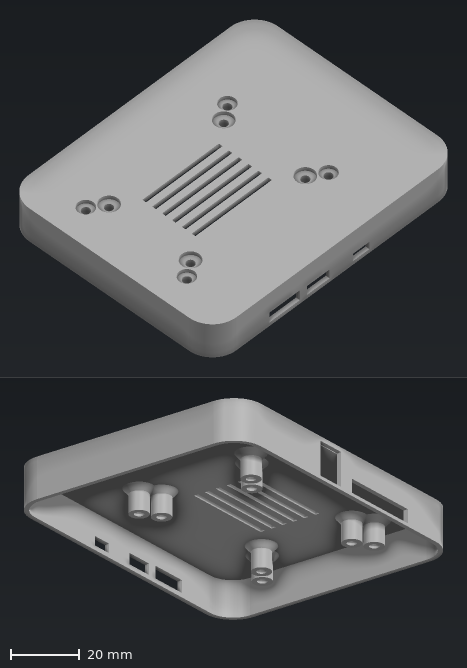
import cadquery as cq

length_x = 84.0
length_y = 103.9
height = 13.6
corner_radius = 9.8
wall = 1.6
roof = 1.7
roof_underside = height - roof

pattern_x = -0.4
pattern_y = -10.6

hole_diameter = 3.0
counterbore_depth = 1.5
inner_spacing_x = 33.0
inner_spacing_y = 48.0
inner_counterbore = 7.0
outer_spacing_x = 40.8
outer_spacing_y = 59.2
outer_counterbore = 6.0

standoff_diameter = 6.2
standoff_bottom = 3.7
flare_diameter = 9.8
flare_height = 2.0

slot_count = 6
slot_width = 1.5
slot_length = 32.0
slot_row_span = 20.0
slot_pitch = slot_row_span / (slot_count - 1)

left_sill = 1.0
tall_port_start = 3.5
tall_port_end = 13.4
tall_port_top = 12.2
long_port_start = -28.5
long_port_end = -1.7
long_port_top = 5.5

right_sill = 1.5
right_ports = [
    (6.5, tall_port_end, 4.5),
    (-12.7, -3.2, 5.1),
    (long_port_start, -15.7, long_port_top),
]


def rounded_block(size_x, size_y, size_z, radius):
    block = cq.Workplane("XY").box(size_x, size_y, size_z, centered=(True, True, False))
    return block.edges("|Z").fillet(radius)


def hole_pattern(spacing_x, spacing_y, z):
    """Workplane at height z with a point at each hole of a pattern."""
    plane = cq.Workplane("XY", origin=(pattern_x, pattern_y, z))
    return plane.rarray(spacing_x, spacing_y, 2, 2)


def counterbored_holes(spacing_x, spacing_y, counterbore_diameter):
    shafts = hole_pattern(spacing_x, spacing_y, 0).circle(hole_diameter / 2).extrude(height)
    heads = (
        hole_pattern(spacing_x, spacing_y, height)
        .circle(counterbore_diameter / 2)
        .extrude(-counterbore_depth)
    )
    return shafts.union(heads)


def standoffs(spacing_x, spacing_y):
    posts = (
        hole_pattern(spacing_x, spacing_y, standoff_bottom)
        .circle(standoff_diameter / 2)
        .extrude(height - standoff_bottom)
    )
    flare = cq.Solid.makeCone(
        standoff_diameter / 2,
        flare_diameter / 2,
        flare_height,
        pnt=cq.Vector(0, 0, roof_underside - flare_height),
    )
    flares = hole_pattern(spacing_x, spacing_y, 0).eachpoint(
        lambda location: flare.moved(location)
    )
    return posts.union(flares)


def vent_slots():
    plane = cq.Workplane("XY", origin=(pattern_x, pattern_y, roof_underside))
    return plane.rarray(slot_pitch, 1, slot_count, 1).rect(slot_width, slot_length).extrude(roof)


def port(wall_side, y_start, y_end, bottom, top):
    """Cutter for one opening through the -X (side -1) or +X (side 1) wall."""
    wall_centre_x = wall_side * (length_x - wall) / 2
    opening = cq.Workplane("XY").box(wall, y_end - y_start, top - bottom)
    return opening.translate((wall_centre_x, (y_start + y_end) / 2, (bottom + top) / 2))


shell = rounded_block(length_x, length_y, height, corner_radius)
cavity = rounded_block(
    length_x - 2 * wall, length_y - 2 * wall, roof_underside, corner_radius - wall
)

result = shell.cut(cavity)
result = result.union(standoffs(inner_spacing_x, inner_spacing_y))
result = result.union(standoffs(outer_spacing_x, outer_spacing_y))
result = result.cut(counterbored_holes(inner_spacing_x, inner_spacing_y, inner_counterbore))
result = result.cut(counterbored_holes(outer_spacing_x, outer_spacing_y, outer_counterbore))
result = result.cut(vent_slots())

result = result.cut(port(-1, tall_port_start, tall_port_end, left_sill, tall_port_top))
result = result.cut(port(-1, long_port_start, long_port_end, left_sill, long_port_top))
for y_start, y_end, top in right_ports:
    result = result.cut(port(1, y_start, y_end, right_sill, top))